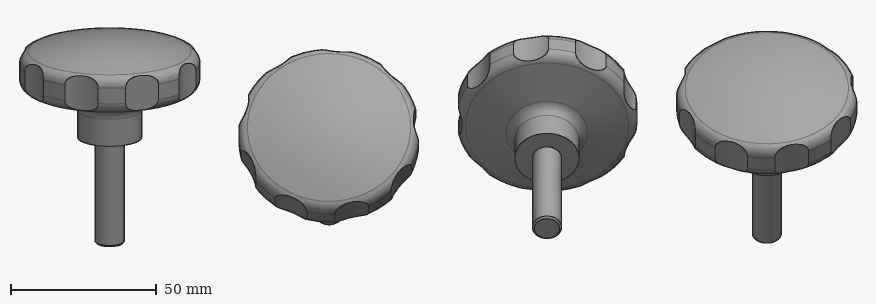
import cadquery as cq
import math

total_height = 73.0
hub_bottom = 37.95
rim_flat_bottom = 59.2
rim_flat_top = 64.8

head_radius = 62.0 / 2
rim_round = 4.0
underside_slope = math.radians(15)

hub_radius = 11.0
neck_fillet = 4.0
stud_radius = 10.0 / 2
stud_chamfer = 0.65

scallop_count = 9
scallop_floor = 29.1
scallop_radius = 15.05
first_scallop_angle = -90.0

round_center = head_radius - rim_round
round_rise = rim_round * math.cos(underside_slope)
crown_radius = round_center + rim_round * math.sin(underside_slope)
crown_height = rim_flat_top + round_rise
underside_height = rim_flat_bottom - round_rise
round_mid_angle = (math.pi / 2 - underside_slope) / 2
round_mid_radius = round_center + rim_round * math.cos(round_mid_angle)
round_mid_rise = rim_round * math.sin(round_mid_angle)

neck_radius = hub_radius + neck_fillet * (1 - math.sin(underside_slope))
neck_height = underside_height - (crown_radius - neck_radius) * math.tan(underside_slope)
hub_top = neck_height - neck_fillet * math.cos(underside_slope)

dome_rise = total_height - crown_height
dome_radius = (crown_radius**2 + dome_rise**2) / (2 * dome_rise)
dome_mid_radius = crown_radius / 2
dome_mid_height = total_height - dome_radius + math.sqrt(dome_radius**2 - dome_mid_radius**2)


def make_knob():
    """Revolve the half profile of stud, hub and head about Z."""
    profile = (
        cq.Workplane("XZ")
        .moveTo(0, 0)
        .lineTo(stud_radius - stud_chamfer, 0)
        .lineTo(stud_radius, stud_chamfer)
        .lineTo(stud_radius, hub_bottom)
        .lineTo(hub_radius, hub_bottom)
        .lineTo(hub_radius, hub_top)
        .tangentArcPoint((neck_radius, neck_height), relative=False)
        .lineTo(crown_radius, underside_height)
        .threePointArc(
            (round_mid_radius, rim_flat_bottom - round_mid_rise),
            (head_radius, rim_flat_bottom),
        )
        .lineTo(head_radius, rim_flat_top)
        .threePointArc(
            (round_mid_radius, rim_flat_top + round_mid_rise),
            (crown_radius, crown_height),
        )
        .threePointArc((dome_mid_radius, dome_mid_height), (0, total_height))
        .close()
    )
    return profile.revolve(360, (0, 0, 0), (0, 1, 0))


def make_scallop_cutters():
    """Upright cylinders that bite into the rim."""
    return (
        cq.Workplane("XY")
        .workplane(offset=hub_bottom)
        .polarArray(scallop_floor + scallop_radius, first_scallop_angle, 360, scallop_count)
        .circle(scallop_radius)
        .extrude(total_height - hub_bottom)
    )


result = make_knob().cut(make_scallop_cutters())